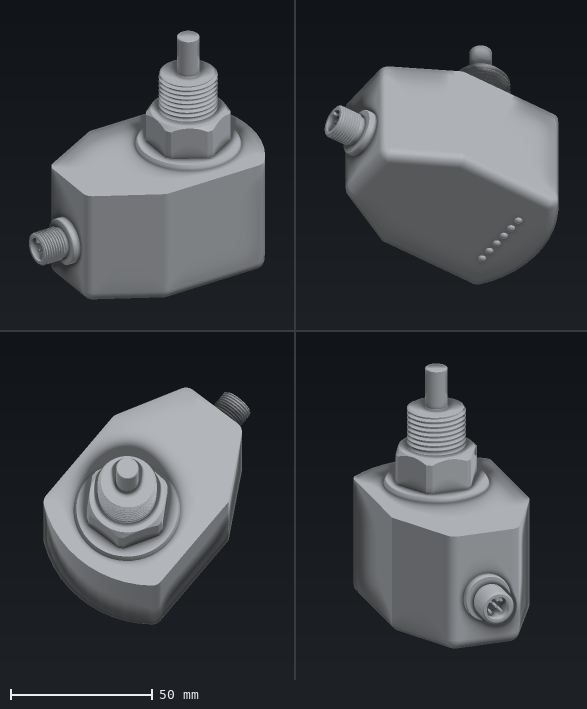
import cadquery as cq
import math

housing_half_width = 26.0
housing_height = 44.0
housing_back_y = 25.0
housing_front_y = -50.0
taper_start_y = -25.0
front_half_width = 12.5
back_arc_radius = 40.0
housing_fillet = 4.0

dot_count = 6
dot_pitch = 4.6
dot_row_y = 8.3
dot_height = 1.0
dot_base_radius = 1.5

seat_base_radius = 19.0
seat_top_radius = 18.0
seat_height = 1.8

hex_across_flats = 27.0
hex_corner_radius = 15.0
hex_top_z = 58.3
hex_chamfer_width = 1.6
hex_chamfer_height = 1.6
hex_foot_height = 0.1

process_crest_radius = 10.48
process_root_radius = 9.32
process_pitch = 1.814
process_length = 15.1
process_first_crest = -0.75
process_tip_chamfer = 0.8
process_relief_radius = 10.9
process_relief_height = 0.5

rod_radius = 4.0
rod_top_z = 88.3
rod_tip_chamfer = 0.3
rod_foot_size = 0.5

plug_z = 20.0
plug_length = 13.0
plug_collar_radius = 8.5
plug_collar_length = 3.0
plug_collar_chamfer = 0.3
plug_crest_radius = 6.1
plug_root_radius = 5.5
plug_pitch = 1.0
plug_thread_start = 4.5
plug_first_crest = -0.17
plug_tip_chamfer = 0.8
socket_radius = 4.25
socket_depth = 8.0
pin_radius = 0.5
pin_recess = 2.0
pin_offset = 2.05
key_width = 1.0
key_height = 1.5

base_share = 0.46
crest_share = 0.03

overlap = 0.3


def cylinder(radius, z_start, z_end):
    return cq.Workplane("XY").workplane(offset=z_start).circle(radius).extrude(z_end - z_start)


def hexagon_prism(z_start, z_end):
    """Sharp-cornered hexagon with two of its corners on the X axis."""
    across_corners = hex_across_flats / math.cos(math.pi / 6)
    return (
        cq.Workplane("XY")
        .workplane(offset=z_start)
        .polygon(6, across_corners)
        .extrude(z_end - z_start)
    )


def revolve_profile(points):
    """Revolve a closed (radius, height) outline about the Z axis."""
    return cq.Workplane("XZ").polyline(points).close().revolve(360, (0, 0, 0), (0, 1, 0))


def threaded_rod(root_radius, crest_radius, pitch, first_crest, length, tip_chamfer):
    """Right-hand threaded rod along Z from 0 to length; first_crest is a crest height on the +X side."""
    half_base = base_share * pitch
    half_crest = crest_share * pitch
    inner_radius = root_radius - overlap
    turns = math.ceil((length - first_crest) / pitch) + 1
    corners = [
        (inner_radius, -half_base),
        (crest_radius, -half_crest),
        (crest_radius, half_crest),
        (inner_radius, half_base),
    ]
    helices = [
        cq.Wire.makeHelix(pitch, turns * pitch, radius).translate(cq.Vector(0, 0, first_crest + height))
        for radius, height in corners
    ]
    faces = []
    for start, end in zip(helices, helices[1:] + helices[:1]):
        faces += cq.Face.makeRuledSurface(start, end).Faces()
    for helix_end in (0, 1):
        outline = cq.Wire.makePolygon([helix.positionAt(helix_end) for helix in helices], close=True)
        faces.append(cq.Face.makeFromWires(outline))
    ridge = cq.Solid.makeSolid(cq.Shell.makeShell(faces))

    overshoot = 3 * pitch
    rod = cylinder(root_radius, -overshoot, length + overshoot).union(cq.Workplane(ridge))
    envelope = cylinder(crest_radius + overlap, 0, length).faces(">Z").chamfer(
        tip_chamfer, tip_chamfer + overlap
    )
    return rod.intersect(envelope)


def make_housing():
    arc_center_y = housing_back_y - back_arc_radius
    shoulder_y = arc_center_y + math.sqrt(back_arc_radius**2 - housing_half_width**2)
    body = (
        cq.Workplane("XY")
        .moveTo(-front_half_width, housing_front_y)
        .lineTo(front_half_width, housing_front_y)
        .lineTo(housing_half_width, taper_start_y)
        .lineTo(housing_half_width, shoulder_y)
        .threePointArc((0, housing_back_y), (-housing_half_width, shoulder_y))
        .lineTo(-housing_half_width, taper_start_y)
        .close()
        .extrude(housing_height)
    )
    rounded_corners = [
        (side * x, y)
        for side in (-1, 1)
        for x, y in ((front_half_width, housing_front_y), (housing_half_width, shoulder_y))
    ]
    rounded_corners.append((housing_half_width, taper_start_y))
    for x, y in rounded_corners:
        corner = cq.selectors.NearestToPointSelector((x, y, housing_height / 2))
        body = body.edges("|Z").edges(corner).fillet(housing_fillet)
    return body.faces("<Z").edges().fillet(housing_fillet)


def make_dots():
    sphere_radius = (dot_base_radius**2 + dot_height**2) / (2 * dot_height)
    row = cq.Workplane("XY", origin=(0, dot_row_y, sphere_radius - dot_height))
    return row.rarray(dot_pitch, 1, dot_count, 1).sphere(sphere_radius)


def make_fitting():
    """Seat, hexagon, threaded spigot and probe rod stacked along Z."""
    seat_top_z = housing_height + seat_height
    seat = revolve_profile(
        [
            (0, housing_height - overlap),
            (seat_base_radius, housing_height - overlap),
            (seat_base_radius, housing_height),
            (seat_top_radius, seat_top_z),
            (0, seat_top_z),
        ]
    )
    hex_foot = hexagon_prism(seat_top_z - overlap, seat_top_z + hex_foot_height)
    hexagon = hexagon_prism(seat_top_z, hex_top_z)
    hex_envelope = cylinder(hex_corner_radius, seat_top_z, hex_top_z).faces(">Z").chamfer(
        hex_chamfer_height, hex_chamfer_width
    )
    thread_top_z = hex_top_z + process_length
    core = revolve_profile(
        [
            (0, hex_top_z - overlap),
            (process_relief_radius, hex_top_z - overlap),
            (process_relief_radius, hex_top_z),
            (process_root_radius - overlap, hex_top_z + process_relief_height),
            (process_root_radius - overlap, thread_top_z - overlap),
            (rod_radius + rod_foot_size, thread_top_z - overlap),
            (rod_radius + rod_foot_size, thread_top_z),
            (rod_radius, thread_top_z + rod_foot_size),
            (rod_radius, rod_top_z - rod_tip_chamfer),
            (rod_radius - rod_tip_chamfer, rod_top_z),
            (0, rod_top_z),
        ]
    )
    thread = threaded_rod(
        process_root_radius,
        process_crest_radius,
        process_pitch,
        process_first_crest,
        process_length,
        process_tip_chamfer,
    ).translate((0, 0, hex_top_z))
    nut = hex_foot.union(hexagon.intersect(hex_envelope))
    return seat.union(nut).union(core).union(thread)


def make_plug():
    """Plug built along +Z from the housing face, with local +Y becoming +Z of the part."""
    collar = cylinder(plug_collar_radius, -overlap, plug_collar_length)
    collar = collar.faces(">Z").chamfer(plug_collar_chamfer)
    neck = cylinder(plug_root_radius, 0, plug_thread_start)
    thread = threaded_rod(
        plug_root_radius,
        plug_crest_radius,
        plug_pitch,
        plug_first_crest,
        plug_length - plug_thread_start,
        plug_tip_chamfer,
    ).translate((0, 0, plug_thread_start))
    socket_floor = plug_length - socket_depth
    socket = cylinder(socket_radius, socket_floor, plug_length)
    pin_points = [(0, 0)] + [(x, y) for x in (-pin_offset, pin_offset) for y in (-pin_offset, pin_offset)]
    pins = (
        cq.Workplane("XY")
        .workplane(offset=socket_floor - overlap)
        .pushPoints(pin_points)
        .circle(pin_radius)
        .extrude(socket_depth - pin_recess + overlap)
    )
    key_length = key_height + overlap
    key = (
        cq.Workplane("XY")
        .workplane(offset=socket_floor - overlap)
        .center(0, socket_radius - key_height + key_length / 2)
        .rect(key_width, key_length)
        .extrude(socket_depth + overlap)
    )
    plug = neck.union(thread).union(collar).cut(socket).union(pins).union(key)
    return plug.rotate((0, 0, 0), (1, 0, 0), 90).translate((0, housing_front_y, plug_z))


result = make_housing().union(make_dots()).union(make_fitting()).union(make_plug())